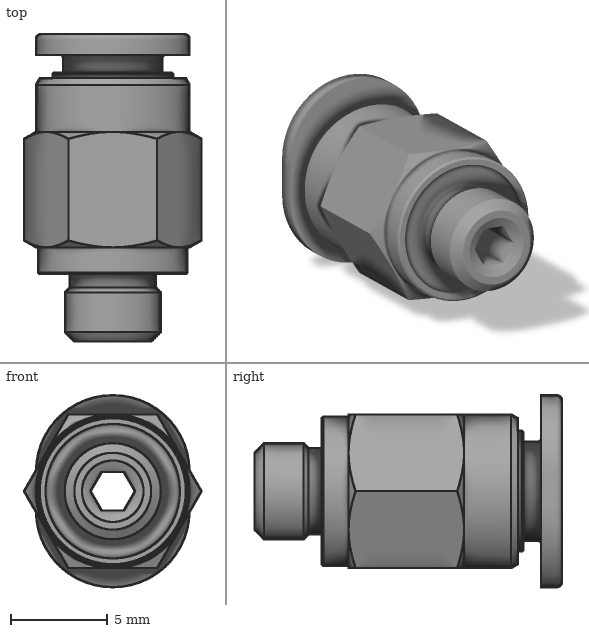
import cadquery as cq
import math

LENGTH = 16.0
HEX_SIDES = 6

THREAD_DIA = 5.0
THREAD_TIP_CHAMFER = 0.5
RELIEF_DIA = 4.5
RELIEF_CHAMFER = (THREAD_DIA - RELIEF_DIA) / 2
RELIEF_START = 2.8
RELIEF_FILLET = 0.2

COLLAR_DIA = 7.8
COLLAR_FRONT = 3.5
COLLAR_CHAMFER = 0.1
RECESS_DIA = 7.0
RECESS_DEPTH = 0.4
RECESS_FLOOR = COLLAR_FRONT + RECESS_DEPTH

HEX_START = 4.9
HEX_END = 10.9
HEX_FLATS = 8.0
HEX_CORNERS = HEX_FLATS / math.cos(math.pi / HEX_SIDES)
HEX_CHAMFER_ANGLE = math.radians(30)

BODY_DIA = 8.0
BODY_END = 13.7
BODY_CHAMFER_RADIAL = 0.2
BODY_CHAMFER_ANGLE = math.radians(30)
BODY_CHAMFER_LENGTH = BODY_CHAMFER_RADIAL / math.tan(BODY_CHAMFER_ANGLE)
RING_DIA = 6.3
RING_END = 14.0
RING_CHAMFER = 0.1

SLEEVE_DIA = 5.2
SLEEVE_FILLET = 0.1
FLANGE_START = 14.9
FLANGE_WIDTH = 8.0
FLANGE_HEIGHT = 10.0
FLANGE_FILLET = 0.3

KEY_FLATS = 2.0
KEY_CORNERS = KEY_FLATS / math.cos(math.pi / HEX_SIDES)
COUNTERSINK_DIA = 3.2
COUNTERSINK_SLOPE = math.radians(30)
COUNTERSINK_DEPTH = (COUNTERSINK_DIA - KEY_FLATS) / 2 * math.tan(COUNTERSINK_SLOPE)


def section_at(y):
    """Workplane normal to the axis at the given y, pointing toward the flange."""
    return cq.Workplane(cq.Plane(origin=(0, y, 0), xDir=(1, 0, 0), normal=(0, 1, 0)))


def cylinder(diameter, start, end):
    """Round bar on the Y axis between two Y positions."""
    return section_at(start).circle(diameter / 2).extrude(end - start)


def revolved(profile):
    """Turn a closed (radius, y) outline about the Y axis."""
    return cq.Workplane("XY").polyline(profile).close().revolve(360, (0, 0, 0), (0, 1, 0))


def root_fillet(shaft_dia, shoulder, radius):
    """Ring that rounds the inside corner where a shaft meets the shoulder at its +Y end."""
    shaft_radius = shaft_dia / 2
    arc_offset = radius * (1 - math.sqrt(0.5))
    return (
        cq.Workplane("XY")
        .moveTo(shaft_radius, shoulder)
        .lineTo(shaft_radius, shoulder - radius)
        .threePointArc(
            (shaft_radius + arc_offset, shoulder - arc_offset),
            (shaft_radius + radius, shoulder),
        )
        .close()
        .revolve(360, (0, 0, 0), (0, 1, 0))
    )


def make_stud():
    thread = (
        cylinder(THREAD_DIA, 0, RELIEF_START)
        .faces("<Y").chamfer(THREAD_TIP_CHAMFER)
        .faces(">Y").chamfer(RELIEF_CHAMFER)
    )
    relief = cylinder(RELIEF_DIA, RELIEF_START, HEX_START)
    return thread.union(relief).union(root_fillet(RELIEF_DIA, RECESS_FLOOR, RELIEF_FILLET))


def make_collar():
    collar = cylinder(COLLAR_DIA, COLLAR_FRONT, HEX_START).faces("<Y").chamfer(COLLAR_CHAMFER)
    recess = cylinder(RECESS_DIA, COLLAR_FRONT, RECESS_FLOOR)
    return collar.cut(recess)


def make_wrench_hexagon():
    prism = section_at(HEX_START).polygon(HEX_SIDES, HEX_CORNERS).extrude(HEX_END - HEX_START)
    flat_radius = HEX_FLATS / 2
    corner_radius = HEX_CORNERS / 2
    corner_drop = (corner_radius - flat_radius) * math.tan(HEX_CHAMFER_ANGLE)
    envelope = revolved([
        (0, HEX_START),
        (flat_radius, HEX_START),
        (corner_radius, HEX_START + corner_drop),
        (corner_radius, HEX_END - corner_drop),
        (flat_radius, HEX_END),
        (0, HEX_END),
    ])
    return prism.intersect(envelope)


def make_body():
    body = (
        cylinder(BODY_DIA, HEX_END, BODY_END)
        .faces(">Y").chamfer(BODY_CHAMFER_LENGTH, BODY_CHAMFER_RADIAL)
    )
    ring = cylinder(RING_DIA, BODY_END, RING_END).faces(">Y").chamfer(RING_CHAMFER)
    return body.union(ring)


def make_release_sleeve():
    flange = (
        section_at(FLANGE_START)
        .slot2D(FLANGE_HEIGHT, FLANGE_WIDTH, 90)
        .extrude(LENGTH - FLANGE_START)
        .faces(">Y").edges().fillet(FLANGE_FILLET)
    )
    sleeve = cylinder(SLEEVE_DIA, RING_END, FLANGE_START)
    return sleeve.union(flange).union(root_fillet(SLEEVE_DIA, FLANGE_START, SLEEVE_FILLET))


def make_key_bore():
    bore = section_at(0).polygon(HEX_SIDES, KEY_CORNERS).extrude(LENGTH)
    countersink = revolved([
        (0, 0),
        (COUNTERSINK_DIA / 2, 0),
        (KEY_FLATS / 2, COUNTERSINK_DEPTH),
        (0, COUNTERSINK_DEPTH),
    ])
    return bore.union(countersink)


result = (
    make_wrench_hexagon()
    .union(make_collar())
    .union(make_stud())
    .union(make_body())
    .union(make_release_sleeve())
    .cut(make_key_bore())
)